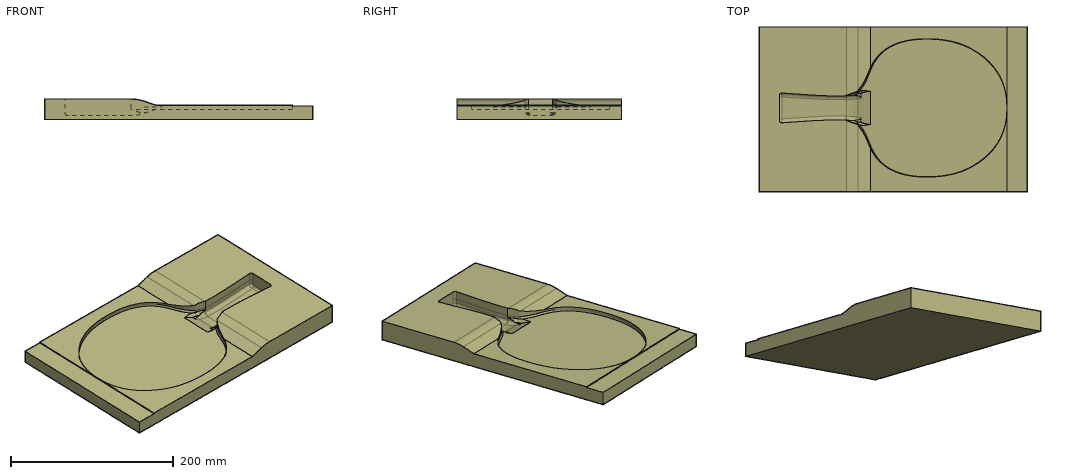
import cadquery as cq
import math

ANGLE_SEARCH_STEPS = 60

LENGTH = 330.2
WIDTH = 203.2
HEIGHT = 25.4

MID_PLANE_Z = 15.24
HANDLE_HALF_THICKNESS = HEIGHT - MID_PLANE_Z
BLADE_HALF_THICKNESS = 2.54
BLADE_TOP_Z = MID_PLANE_Z + BLADE_HALF_THICKNESS
HANDLE_FLOOR_Z = MID_PLANE_Z - HANDLE_HALF_THICKNESS
BLADE_FLOOR_Z = MID_PLANE_Z - BLADE_HALF_THICKNESS
TIP_LEDGE_Z = 16.8

HANDLE_END_X = 24.9
CURVE_START_X = 107.6
CURVE_END_X = 121.4
RAMP_END_X = 137.2
WIDEST_X = 206.4
BLADE_TIP_X = 305.2

PADDLE_CENTRE_Y = WIDTH / 2 + 1.7
BLADE_HALF_WIDTH = 85.2
HANDLE_END_HALF_WIDTH = 18.5

HANDLE_SIDE_RADIUS = 4.8
HANDLE_END_RADIUS = 3.0
FLOOR_HALF_WIDTH_MIN = 5.0

SHOULDER_TAPER = 40.0
SHOULDER_DEPTH = 4.0

NECK_X = 106.5
NECK = (NECK_X, 15.0)
TIP_DIRECTION = (0.0, 1.0)
NECK_DIRECTION = (-1.0, -0.45)

HANDLE_SIDE = [
    (HANDLE_END_X, HANDLE_END_HALF_WIDTH),
    (60.0, 16.2),
    (93.0, 14.7),
    NECK,
]
HANDLE_FLARE = [NECK, (121.0, 16.6), (131.0, 19.2), (147.0, 26.5)]
SHOULDER_SIDE = [NECK, (114.5, 18.2), (121.0, 20.6), (127.0, 21.4), (RAMP_END_X, 20.4)]

BLADE_SIDE = [
    (*NECK, 0.0),
    (121.0, 20.6, 1.8),
    (128.5, 31.0, 3.5),
    (RAMP_END_X, 50.0, 3.3),
    (149.7, 67.2, 0.8),
    (172.4, 80.4, 0.4),
    (WIDEST_X, BLADE_HALF_WIDTH, 0.4),
    (251.8, 77.4, 0.4),
    (285.8, 53.9, 0.4),
    (BLADE_TIP_X, 0.0, 0.0),
]


LEVEL_CHANGE = HANDLE_HALF_THICKNESS - BLADE_HALF_THICKNESS
ARC_RUN = CURVE_END_X - CURVE_START_X
RAMP_RUN = RAMP_END_X - CURVE_END_X


def find_ramp_angle():
    """Angle at which the arc's rise and the ramp's rise add up to the change of level."""
    low = 0.0
    high = math.atan(LEVEL_CHANGE / RAMP_RUN)
    for _ in range(ANGLE_SEARCH_STEPS):
        angle = (low + high) / 2
        if ARC_RUN * math.tan(angle / 2) + RAMP_RUN * math.tan(angle) < LEVEL_CHANGE:
            low = angle
        else:
            high = angle
    return angle


RAMP_ANGLE = find_ramp_angle()
ARC_RADIUS = ARC_RUN / math.sin(RAMP_ANGLE)


def curve_to_ramp(profile, handle_z, direction):
    """Continue a side profile from the handle level through the arc to the start of the ramp."""

    def arc_point(angle):
        x = CURVE_START_X + ARC_RADIUS * math.sin(angle)
        return x, handle_z + direction * ARC_RADIUS * (1 - math.cos(angle))

    return profile.lineTo(CURVE_START_X, handle_z).threePointArc(
        arc_point(RAMP_ANGLE / 2), arc_point(RAMP_ANGLE)
    )


def make_block():
    profile = cq.Workplane("XZ").lineTo(0, HEIGHT)
    profile = curve_to_ramp(profile, HEIGHT, -1)
    return (
        profile.lineTo(RAMP_END_X, BLADE_TOP_Z)
        .lineTo(BLADE_TIP_X, BLADE_TOP_Z)
        .lineTo(BLADE_TIP_X, TIP_LEDGE_Z)
        .lineTo(LENGTH, TIP_LEDGE_Z)
        .lineTo(LENGTH, 0)
        .close()
        .extrude(-WIDTH)
    )


def make_above_handle_floor():
    """Space above the handle floor and its ramp, up to the mid-plane."""
    ramp_at_mid_plane_x = RAMP_END_X + BLADE_HALF_THICKNESS / math.tan(RAMP_ANGLE)
    profile = cq.Workplane("XZ").moveTo(0, MID_PLANE_Z).lineTo(0, HANDLE_FLOOR_Z)
    return (
        curve_to_ramp(profile, HANDLE_FLOOR_Z, 1)
        .lineTo(ramp_at_mid_plane_x, MID_PLANE_Z)
        .close()
        .extrude(-WIDTH)
    )


def plan_sketch(z):
    """Workplane at height z with its X axis on the paddle centreline."""
    return cq.Workplane("XY", origin=(0, PADDLE_CENTRE_Y, z))


def blade_half_outline(sketch, lean_share):
    """Outline of one side of the blade, moved in by the given share of the wall's lean."""
    side = [(x, y - lean_share * lean) for x, y, lean in reversed(BLADE_SIDE)]
    return (
        sketch.moveTo(*side[0])
        .spline(side[1:], tangents=[TIP_DIRECTION, NECK_DIRECTION], includeCurrent=True)
        .lineTo(NECK_X, 0)
        .close()
    )


def make_blade_half():
    upper = blade_half_outline(plan_sketch(MID_PLANE_Z), 0).extrude(HEIGHT - MID_PLANE_Z)
    lower = blade_half_outline(plan_sketch(BLADE_FLOOR_Z), 1)
    lower = blade_half_outline(lower.workplane(offset=BLADE_HALF_THICKNESS), 0).loft(ruled=True)
    return upper.union(lower)


def handle_half_outline(sketch):
    return sketch.moveTo(*HANDLE_SIDE[0]).spline(HANDLE_SIDE[1:], includeCurrent=True)


def make_handle_half():
    opening = (
        handle_half_outline(plan_sketch(MID_PLANE_Z))
        .lineTo(NECK_X, 0)
        .lineTo(HANDLE_END_X, 0)
        .close()
        .extrude(HEIGHT - MID_PLANE_Z)
        .edges("|Z and <X and >Y")
        .fillet(HANDLE_END_RADIUS)
    )
    lower = (
        handle_half_outline(plan_sketch(0))
        .spline(HANDLE_FLARE[1:], includeCurrent=True)
        .lineTo(HANDLE_FLARE[-1][0], 0)
        .lineTo(HANDLE_END_X, 0)
        .close()
        .extrude(HEIGHT)
        .intersect(make_above_handle_floor())
    )
    outer_wall = cq.selectors.BoxSelector(
        (HANDLE_END_X, PADDLE_CENTRE_Y + FLOOR_HALF_WIDTH_MIN, 0), (LENGTH, WIDTH, BLADE_FLOOR_Z)
    )
    lower = lower.edges("not(#X or |Z)").edges(outer_wall).fillet(HANDLE_SIDE_RADIUS)
    lower = lower.faces("<X").edges("not(>Z or <Y)").fillet(HANDLE_END_RADIUS)
    return opening.union(lower)


def make_shoulder_half():
    return (
        plan_sketch(BLADE_FLOOR_Z)
        .moveTo(*SHOULDER_SIDE[0])
        .spline(SHOULDER_SIDE[1:], includeCurrent=True)
        .lineTo(RAMP_END_X, 0)
        .lineTo(NECK_X, 0)
        .close()
        .extrude(-SHOULDER_DEPTH, taper=SHOULDER_TAPER)
        .intersect(make_above_handle_floor())
    )


def make_paddle_cavity():
    half = make_blade_half().union(make_handle_half()).union(make_shoulder_half())
    return half.mirror("XZ", (0, PADDLE_CENTRE_Y, 0), union=True)


result = make_block().cut(make_paddle_cavity())